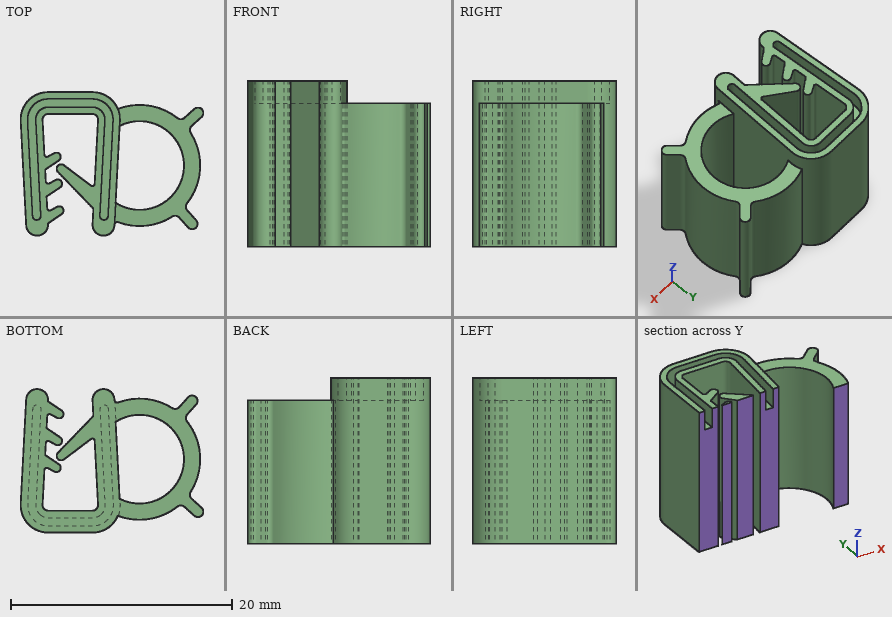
import cadquery as cq
import math

clip_length = 15.0
clip_height = 13.0
wall = 2.0
leg_taper = 3.0
corner_radius = 2.5
corner_offset = 2.0

groove_width = 0.75
groove_depth = 2.0
groove_end_gap = 0.8

barb_count = 3
barb_pitch = 2.43
barb_tip_radius = 0.4
barb_tip = (-1.25, 7.13)
barb_upper_slope = 28.0
barb_lower_slope = 34.0

lip_tip_radius = 0.41
lip_tip = (-0.83, 6.05)
lip_upper_slope = 37.0
lip_lower_slope = 46.0
root_fillet = 0.2

ring_length = 13.0
ring_centre = (6.27, 6.35)
ring_outer_radius = 5.49
ring_inner_radius = 4.0
fin_angles = (45.0 - leg_taper, -45.0 - leg_taper)
fin_tip_distance = 7.1
fin_width = 1.0
fin_fillet = 0.5
ring_fillet = 0.25

half_wall = wall / 2
bend_radius = corner_radius - half_wall
corner_y = clip_height - corner_radius
top_y = clip_height - half_wall
taper = math.radians(leg_taper)
bend_x = corner_offset + bend_radius * math.cos(taper)
bend_y = corner_y - bend_radius * math.sin(taper)


def leg_point(y, outward=0.0):
    """Point on the right leg's middle line at height y, moved square to the leg by outward."""
    x = bend_x - (bend_y - y) * math.tan(taper)
    return (x + outward * math.cos(taper), y - outward * math.sin(taper))


def mirrored(point):
    return (-point[0], point[1])


def channel(end_y, thickness, length):
    """U-shaped strip of the given thickness around the middle line, with round ends at end_y."""
    foot = leg_point(end_y)
    bend = (bend_x, bend_y)
    half_turn = math.radians((90 - leg_taper) / 2)
    crown = (
        corner_offset + bend_radius * math.cos(half_turn),
        corner_y + bend_radius * math.sin(half_turn),
    )
    middle_line = (
        cq.Workplane("XY")
        .moveTo(*mirrored(foot))
        .lineTo(*mirrored(bend))
        .threePointArc(mirrored(crown), (-corner_offset, top_y))
        .lineTo(corner_offset, top_y)
        .threePointArc(crown, bend)
        .lineTo(*foot)
    )
    return middle_line.offset2D(thickness / 2).extrude(length)


def line_crossing(start, slope, leg_side):
    """Where a line at the given slope crosses the inner face of the left (-1) or right (1) leg."""
    face = leg_point(0, -half_wall)
    face_x = leg_side * face[0]
    face_run = leg_side * math.tan(taper)
    rise = math.tan(math.radians(slope))
    x = (face_x + face_run * (start[1] - rise * start[0] - face[1])) / (1 - face_run * rise)
    return (x, start[1] + rise * (x - start[0]))


def fillet_upright_edge(body, corner, length, radius):
    """Round the edge along Z that stands nearest to the given corner."""
    nearest = cq.selectors.NearestToPointSelector((corner[0], corner[1], length / 2))
    return body.edges("|Z").edges(nearest).fillet(radius)


def add_finger(body, tip, radius, upper_slope, lower_slope, leg_side):
    """Add a tapered finger with a round tip that rises away from a leg's inner face."""
    upper = math.radians(upper_slope)
    lower = math.radians(lower_slope)
    upper_tangent = (
        tip[0] + leg_side * radius * math.sin(upper),
        tip[1] + radius * math.cos(upper),
    )
    lower_tangent = (
        tip[0] - leg_side * radius * math.sin(lower),
        tip[1] - radius * math.cos(lower),
    )
    middle = (upper + lower) / 2
    tip_end = (tip[0] - leg_side * radius * math.cos(middle), tip[1] + radius * math.sin(middle))
    upper_root = line_crossing(upper_tangent, -leg_side * upper_slope, leg_side)
    lower_root = line_crossing(lower_tangent, -leg_side * lower_slope, leg_side)
    embed = leg_side * half_wall
    finger = (
        cq.Workplane("XY")
        .moveTo(*upper_root)
        .lineTo(*upper_tangent)
        .threePointArc(tip_end, lower_tangent)
        .lineTo(*lower_root)
        .lineTo(lower_root[0] + embed, lower_root[1])
        .lineTo(upper_root[0] + embed, upper_root[1])
        .close()
        .extrude(clip_length)
    )
    return fillet_upright_edge(body.union(finger), upper_root, clip_length, root_fillet)


def seal():
    """Ring with fins, ending inside the right leg."""
    disc = cq.Workplane("XY").circle(ring_outer_radius).extrude(ring_length)
    for angle in fin_angles:
        fin = (
            cq.Workplane("XY")
            .center(fin_tip_distance / 2, 0)
            .slot2D(fin_tip_distance + fin_width, fin_width)
            .extrude(ring_length)
            .rotate((0, 0, 0), (0, 0, 1), angle)
        )
        disc = disc.union(fin)
        root_turn = math.asin(fin_width / 2 / ring_outer_radius)
        for turn in (-root_turn, root_turn):
            direction = math.radians(angle) + turn
            root = (ring_outer_radius * math.cos(direction), ring_outer_radius * math.sin(direction))
            disc = fillet_upright_edge(disc, root, ring_length, fin_fillet)
    ring = disc.cut(cq.Workplane("XY").circle(ring_inner_radius).extrude(ring_length))
    leg_top = leg_point(clip_height)
    leg_bottom = leg_point(0)
    far_x = ring_centre[0] + 2 * ring_outer_radius
    outside_leg = (
        cq.Workplane("XY")
        .polyline([leg_bottom, leg_top, (far_x, clip_height), (far_x, 0)])
        .close()
        .extrude(ring_length)
    )
    return ring.translate((*ring_centre, 0)).intersect(outside_leg)


def ring_corner():
    """Lower corner between the ring's outside and the right leg's outer face."""
    face = leg_point(half_wall, half_wall)
    normal = (math.cos(taper), -math.sin(taper))
    offset = (face[0] - ring_centre[0]) * normal[0] + (face[1] - ring_centre[1]) * normal[1]
    along = math.sqrt(ring_outer_radius**2 - offset**2)
    return (
        ring_centre[0] + offset * normal[0] - along * math.sin(taper),
        ring_centre[1] + offset * normal[1] - along * math.cos(taper),
    )


body = channel(half_wall, wall, clip_length)

for index in range(barb_count):
    drop = index * barb_pitch
    tip = (barb_tip[0] + drop * math.sin(taper), barb_tip[1] - drop * math.cos(taper))
    body = add_finger(body, tip, barb_tip_radius, barb_upper_slope, barb_lower_slope, -1)

body = add_finger(body, lip_tip, lip_tip_radius, lip_upper_slope, lip_lower_slope, 1)

body = body.union(seal())
body = fillet_upright_edge(body, ring_corner(), ring_length, ring_fillet)

groove = channel(half_wall + groove_end_gap, groove_width, groove_depth)
result = body.cut(groove.translate((0, 0, clip_length - groove_depth)))